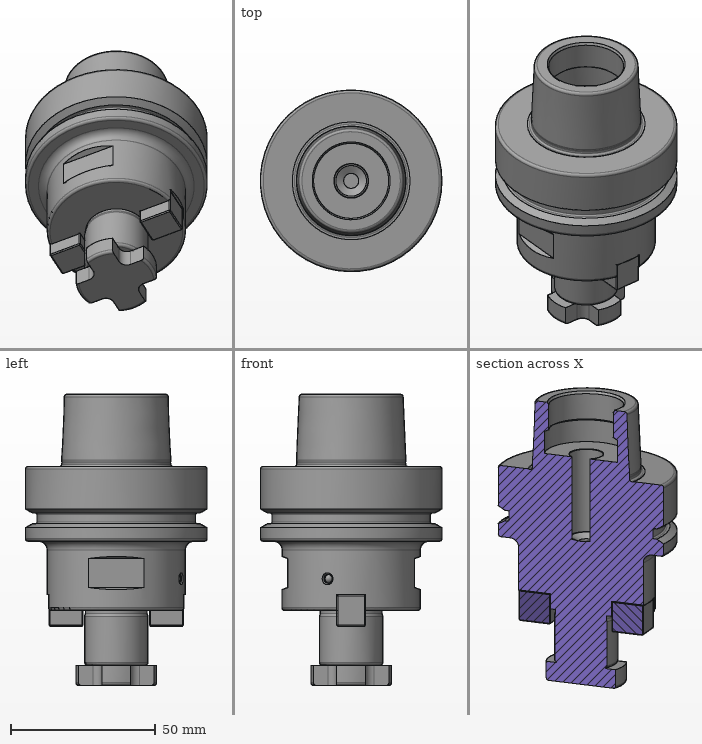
import cadquery as cq
import math

cut_clearance = 1.0

shank_length = 25.0
shank_top_radius = 18.05
shank_base_radius = 19.0
shank_base_height = 2.1
shank_rim_fillet = 1.0
relief_radius = 18.9
relief_top = 1.45
relief_bottom = 1.15
face_recess_depth = 0.1
face_recess_radius = 20.4
face_recess_fillet = 0.65

flange_radius = 31.5
flange_bottom = -26.0
flange_fillet = 1.0
groove_center = -18.05
groove_mouth_width = 6.5
groove_floor_width = 3.6
groove_floor_radius = 27.5
groove_side_angle = 30.0
groove_fillet = 0.5

body_radius = 24.0
body_bottom = -50.0
body_fillet = 1.0
flange_cove_radius = 3.0
flat_distance = 22.0
flat_top = -32.0
flat_bottom = -42.0
flat_ledge_angle = 20.0

spigot_radius = 11.0
spigot_bottom = -69.0
spigot_fillet = 1.0
spigot_neck_radius = 10.75
spigot_neck_bottom = -51.1
spigot_guide_top = -52.0
head_radius = 14.0
head_bottom = -76.0
head_fillet = 1.0
head_arm_width = 10.0
head_notch_fillet = 3.0

bore_radius = 13.0
bore_chamfer = 0.5
bore_chamfer_angle = 30.0
bore_step_height = 15.0
bore_step_angle = 30.0
bore_relief_radius = 14.5
bore_floor = 6.3
center_hole_radius = 5.85
center_hole_chamfer = 0.15
center_hole_depth = 30.0
countersink_radius = 5.3
countersink_half_angle = 60.0
pilot_radius = 2.6
pilot_depth = 10.0

plug_hole_angle = 20.0
plug_hole_height = -39.0
plug_hole_radius = 1.55
plug_hole_chamfer = 0.5
plug_recess = 0.3

key_width = 10.0
key_top = -44.5
key_bottom = -55.5
key_inner = 11.5
key_outer = 23.3
key_chamfer = 0.4


def revolved(outline):
    """Turn an outline of radius and height around the tool axis."""
    return outline.close().revolve(360, (0, 0, 0), (0, 1, 0))


def round_top_corner(outline, radius, height, fillet):
    """Go outwards along a face at the height, then round down onto the side at the radius."""
    inset = fillet * (1 - math.sqrt(0.5))
    return outline.lineTo(radius - fillet, height).threePointArc(
        (radius - inset, height - inset), (radius, height - fillet)
    )


def round_bottom_corner(outline, radius, height, fillet):
    """Go down the side at the radius, then round inwards onto a face at the height."""
    inset = fillet * (1 - math.sqrt(0.5))
    return outline.lineTo(radius, height + fillet).threePointArc(
        (radius - inset, height + inset), (radius - fillet, height)
    )


def make_turned_blank():
    """Shank, flange, body, spigot and head turned as one profile."""
    groove_rise = (groove_mouth_width - groove_floor_width) / 2
    groove_shoulder_radius = flange_radius - groove_rise / math.tan(math.radians(groove_side_angle))
    groove_top = groove_center + groove_floor_width / 2
    groove_bottom = groove_center - groove_floor_width / 2
    outline = cq.Workplane("XZ").moveTo(0, shank_length)
    outline = round_top_corner(outline, shank_top_radius, shank_length, shank_rim_fillet)
    outline = (
        outline.lineTo(shank_base_radius, shank_base_height)
        .lineTo(relief_radius, relief_top)
        .lineTo(relief_radius, relief_bottom)
        .lineTo(shank_base_radius, face_recess_fillet - face_recess_depth)
        .radiusArc((shank_base_radius + face_recess_fillet, -face_recess_depth), -face_recess_fillet)
        .lineTo(face_recess_radius, -face_recess_depth)
        .lineTo(face_recess_radius, 0)
    )
    outline = round_top_corner(outline, flange_radius, 0, flange_fillet)
    outline = (
        outline.lineTo(flange_radius, groove_center + groove_mouth_width / 2)
        .lineTo(groove_shoulder_radius, groove_top)
        .lineTo(groove_floor_radius + groove_fillet, groove_top)
        .radiusArc((groove_floor_radius, groove_top - groove_fillet), -groove_fillet)
        .lineTo(groove_floor_radius, groove_bottom + groove_fillet)
        .radiusArc((groove_floor_radius + groove_fillet, groove_bottom), -groove_fillet)
        .lineTo(groove_shoulder_radius, groove_bottom)
        .lineTo(flange_radius, groove_center - groove_mouth_width / 2)
    )
    outline = round_bottom_corner(outline, flange_radius, flange_bottom, flange_fillet)
    outline = outline.lineTo(body_radius + flange_cove_radius, flange_bottom).radiusArc(
        (body_radius, flange_bottom - flange_cove_radius), -flange_cove_radius
    )
    outline = round_bottom_corner(outline, body_radius, body_bottom, body_fillet)
    outline = (
        outline.lineTo(spigot_neck_radius, body_bottom)
        .lineTo(spigot_neck_radius, spigot_neck_bottom)
        .lineTo(spigot_radius, spigot_guide_top)
    )
    outline = round_bottom_corner(outline, spigot_radius, spigot_bottom, spigot_fillet)
    outline = outline.lineTo(head_radius, spigot_bottom)
    outline = round_bottom_corner(outline, head_radius, head_bottom, head_fillet)
    return revolved(outline.lineTo(0, head_bottom))


def make_bore():
    """Stepped bore of the shank with its central hole and pilot."""
    center_bottom = bore_floor - center_hole_depth
    cone_bottom = center_bottom - (countersink_radius - pilot_radius) / math.tan(
        math.radians(countersink_half_angle)
    )
    pilot_bottom = cone_bottom - pilot_depth
    chamfer_height = bore_chamfer / math.tan(math.radians(bore_chamfer_angle))
    step_drop = (bore_relief_radius - bore_radius) * math.tan(math.radians(bore_step_angle))
    return revolved(
        cq.Workplane("XZ")
        .moveTo(0, shank_length)
        .lineTo(bore_radius + bore_chamfer, shank_length)
        .lineTo(bore_radius, shank_length - chamfer_height)
        .lineTo(bore_radius, bore_step_height)
        .lineTo(bore_relief_radius, bore_step_height - step_drop)
        .lineTo(bore_relief_radius, bore_floor)
        .lineTo(center_hole_radius + center_hole_chamfer, bore_floor)
        .lineTo(center_hole_radius, bore_floor - center_hole_chamfer)
        .lineTo(center_hole_radius, center_bottom)
        .lineTo(countersink_radius, center_bottom)
        .lineTo(pilot_radius, cone_bottom)
        .lineTo(pilot_radius, pilot_bottom)
        .lineTo(0, pilot_bottom)
    )


def make_flat_cutter(side):
    """Cutter for one spanner flat; its ledges slope outwards."""
    reach = body_radius + cut_clearance - flat_distance
    flare = reach * math.tan(math.radians(flat_ledge_angle))
    return (
        cq.Workplane("XZ")
        .moveTo(side * flat_distance, flat_top)
        .lineTo(side * (flat_distance + reach), flat_top + flare)
        .lineTo(side * (flat_distance + reach), flat_bottom - flare)
        .lineTo(side * flat_distance, flat_bottom)
        .close()
        .extrude(body_radius, both=True)
    )


def make_head_notch(side_x, side_y):
    """Cutter for one corner notch between two arms of the cross-shaped head."""
    size = head_radius
    center = head_arm_width / 2 + size / 2
    return (
        cq.Workplane("XY", origin=(side_x * center, side_y * center, head_bottom))
        .rect(size, size)
        .extrude(spigot_bottom - head_bottom)
        .edges("|Z")
        .fillet(head_notch_fillet)
    )


def make_plug_hole():
    """Chamfered radial hole that ends on a ball-shaped plug just below the surface."""
    ball_top = body_radius - plug_recess
    ball_middle = ball_top - plug_hole_radius
    mouth_radius = plug_hole_radius + plug_hole_chamfer
    diagonal = plug_hole_radius * math.sqrt(0.5)
    upright_hole = revolved(
        cq.Workplane("XZ")
        .moveTo(0, ball_top)
        .threePointArc((diagonal, ball_middle + diagonal), (plug_hole_radius, ball_middle))
        .lineTo(plug_hole_radius, body_radius - plug_hole_chamfer)
        .lineTo(mouth_radius, body_radius)
        .lineTo(mouth_radius, body_radius + cut_clearance)
        .lineTo(0, body_radius + cut_clearance)
    )
    hole_toward_front = upright_hole.rotate((0, 0, 0), (1, 0, 0), 90)
    turned_hole = hole_toward_front.rotate((0, 0, 0), (0, 0, 1), -plug_hole_angle)
    return turned_hole.translate((0, 0, plug_hole_height))


def make_key(side):
    """Chamfered drive key, on the -Y side for -1 and on the +Y side for +1."""
    length = key_outer - key_inner
    height = key_top - key_bottom
    middle = (0, side * (key_inner + length / 2), key_bottom + height / 2)
    return cq.Workplane("XY").box(key_width, length, height).translate(middle).edges().chamfer(key_chamfer)


def make_key_slot(side):
    """Slot for a drive key, open at the outside and bottom of the body."""
    length = body_radius + cut_clearance - key_inner
    height = key_top - body_bottom
    return cq.Workplane("XY").box(key_width, length, height).translate(
        (0, side * (key_inner + length / 2), body_bottom + height / 2)
    )


holder = make_turned_blank().cut(make_bore()).cut(make_plug_hole())
for side in (-1, 1):
    holder = holder.cut(make_flat_cutter(side)).cut(make_key_slot(side))
    for other_side in (-1, 1):
        holder = holder.cut(make_head_notch(side, other_side))

keys = [make_key(side) for side in (-1, 1)]

result = cq.Compound.makeCompound([holder.val(), *[key.val() for key in keys]])